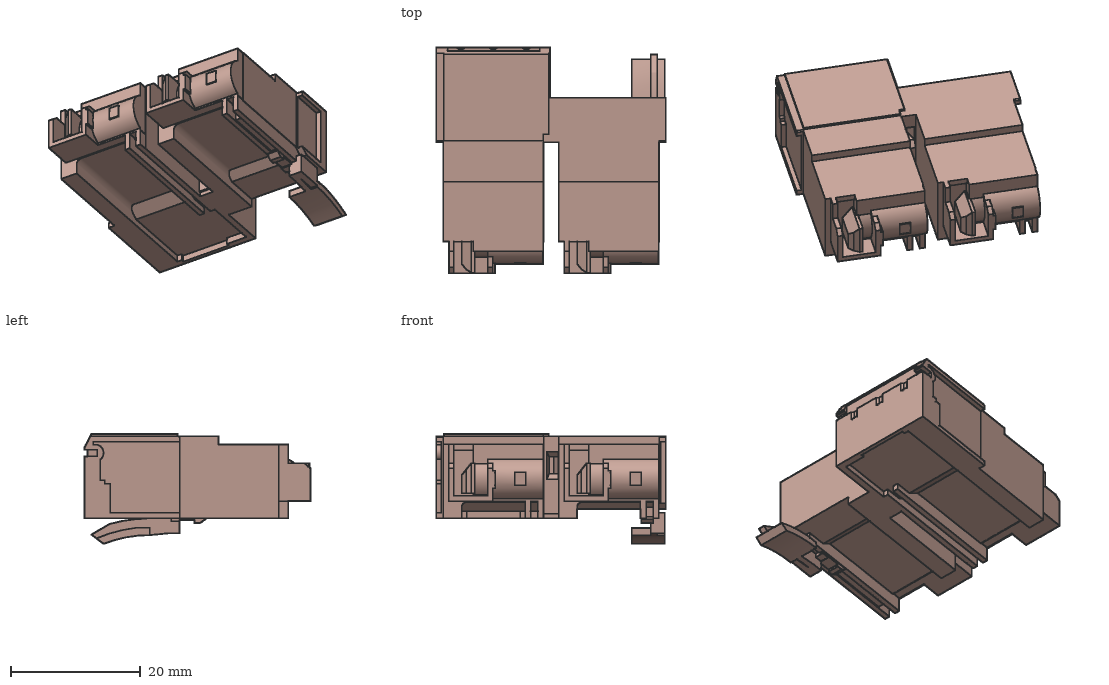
import cadquery as cq


total_width = 35.4
total_depth = 34.87
total_height = 16.96
body_top = 12.68
wing_front_y = 20.2
left_block_right_x = 17.55
right_block_back_y = 27.13

module_pitch = 17.8
module_left_x = 1.07
module_right_x = 16.57
module_front_y = 4.9
module_step_y = 14.16
module_front_top = 11.42

plate_left_x = 1.94
plate_right_x = 16.5
plate_front_y = 3.44
plate_bottom = 2.67

trough_wall = 0.8
trough_right_x = 8.75
trough_top = 8.53
trough_chamfer_y = 1.0
trough_chamfer_z = 0.77
trough_tab_right_x = 9.1
trough_tab_back_y = 1.6
trough_tab_bottom = 4.63
trough_tab_top = 7.36
cavity_right_x = 5.7
cavity_back_y = 5.5
cavity_roof = 10.5

rib_left_x = 3.92
rib_crest_x = 5.42
rib_right_x = 5.95
rib_bottom = 3.87
rib_shoulder_z = 6.65
rib_tip_y = 0.15
rib_left_tip_y = 1.5
rib_tip_bend = (4.6, 0.65)

barrel_z = 6.06
barrel_half_height = 3.03
barrel_front_y = 1.45
small_barrel_half_height = 2.4
small_barrel_front_y = 2.5
pad_left_x = 12.1
pad_width = 1.68
pad_bottom = 5.14
pad_top = 7.1
pad_front_y = 1.4

channel_left_x = 3.92
channel_roof = 2.5
channel_fillet = 0.8
channel_back_wall = 1.1
channel_back_niche_x = (4.68, 12.95)
channel_back_niche_depth = 0.5
left_channel_rear_roof = 1.12
right_channel_rear_roof = 1.42
wing_bottom_front = 2.34
roof_slope = 0.7
leg_left_xs = (13.7, 15.68)
leg_width = 0.85
leg_back_y = 24.8
leg_bridge_bottom = 0.25
leg_bridge_top = 1.7
leg_bridge_front_y = 6.0

lid_top = 13.02
lid_left_x = 1.2
lid_right_x = 17.38
lid_front_y = 20.5
lid_notch_left_x = 16.5
lid_notch_back_y = 21.5
bevel_start_y = 33.8
bevel_bottom = 10.94
rear_slot_bottom = 9.55
rear_slot_top = 10.55
rear_slot_depth = 0.45
end_slot_front_y = 32.9
label_left_x = 1.74
label_right_x = 15.95
label_top = 12.0
label_floor_y = 34.3
contact_xs = (3.8, 8.8, 13.9)
contact_width = 1.3
contact_floor_width = 0.6
contact_depth = 0.3
contact_bottom = 8.0

panel_depth = 0.77
panel_bottom = 0.87
panel_top = 11.8
panel_lower_back_y = 30.9
panel_middle_back_y = 31.75
panel_upper_back_y = 32.4
panel_top_back_y = 33.5
panel_lower_step_z = 5.33
panel_upper_step_z = 5.9
hub_y = 33.2
hub_z = 10.1
hub_radius = 1.28
right_panel_back_y = 25.5
lip_bevel_y = 0.27
lip_bevel_z = 0.15

window_left_x = 17.06
window_right_x = 18.83
window_bottom = 6.04
window_top = 10.24
window_inner_left_x = 17.4
window_inner_bottom = 6.9
window_inner_top = 9.5
window_taper_depth = 1.0
window_depth = 3.0
window_back_right_x = 18.1
web_foot_height = 0.74
web_foot_setback = 0.3

latch_left_x = 30.12
latch_rib_left_x = 33.05
latch_rib_right_x = 34.1
latch_right_x = 35.27
latch_stem_back_y = 24.8
latch_stem_top = 0.87
latch_stem_bottom = -2.33
latch_flat_end_y = 22.0
latch_knee_bottom = -2.6
latch_low_z = lid_top - total_height
latch_low_tip = (31.9, latch_low_z)
latch_tip = (33.8, -2.5)
latch_lower_bend = (28.5, -2.95)
latch_upper_bend = (29.1, -0.4)
latch_upper_arc_end = (31.0, -0.85)
bar_tip = (33.05, -3.1)
bar_bend = (29.3, -1.87)
bar_arc_end_y = 27.0
bar_top = -1.47
strip_back_y = 21.5
strip_root_z = 0.3
strip_thick_bottom = -0.46
strip_thin_bottom = -0.28
hook_back_y = 17.9
hook_tip_front_y = 17.05
hook_front_y = 16.15
hook_bottom = -0.74
hook_front_z = -0.1
hook_left_x = 31.6
hook_right_x = 33.5


def box(x0, x1, y0, y1, z0, z1):
    return cq.Workplane("XY").box(x1 - x0, y1 - y0, z1 - z0, centered=False).translate((x0, y0, z0))


def side_prism(sketch, x0, x1):
    """Extrude a closed YZ outline from x0 to x1."""
    return sketch.extrude(x1 - x0).translate((x0, 0, 0))


def side_polygon(points, x0, x1):
    return side_prism(cq.Workplane("YZ").polyline(points).close(), x0, x1)


def barrel(x0, x1, half_height, front_y):
    """Round bulge along X, standing on the front plate."""
    outline = (
        cq.Workplane("YZ")
        .moveTo(plate_front_y, barrel_z - half_height)
        .threePointArc((front_y, barrel_z), (plate_front_y, barrel_z + half_height))
        .lineTo(module_front_y, barrel_z + half_height)
        .lineTo(module_front_y, barrel_z - half_height)
        .close()
    )
    return side_prism(outline, x0, x1)


def trough_rib():
    profile = [
        (rib_left_x, rib_bottom),
        (rib_right_x, rib_bottom),
        (rib_right_x, trough_top),
        (rib_crest_x, trough_top),
        (rib_left_x, rib_shoulder_z),
    ]
    rib = cq.Workplane("XZ").polyline(profile).close().extrude(-cavity_back_y)
    plan = (
        cq.Workplane("XY")
        .moveTo(rib_left_x, cavity_back_y)
        .lineTo(rib_left_x, rib_left_tip_y)
        .lineTo(*rib_tip_bend)
        .lineTo(rib_crest_x, rib_tip_y)
        .lineTo(rib_right_x, rib_tip_y)
        .lineTo(rib_right_x, cavity_back_y)
        .close()
        .extrude(body_top)
    )
    return rib.intersect(plan)


def trough():
    chamfer_z = trough_top - trough_chamfer_z
    outline = [
        (0, plate_bottom),
        (module_front_y, plate_bottom),
        (module_front_y, trough_top),
        (trough_chamfer_y, trough_top),
        (0, chamfer_z),
    ]
    body = side_polygon(outline, plate_left_x, trough_right_x)
    inside = box(
        plate_left_x + trough_wall, trough_right_x - trough_wall,
        0, plate_front_y, plate_bottom + trough_wall, trough_top,
    )
    tab = box(
        trough_right_x, trough_tab_right_x, 0, trough_tab_back_y, trough_tab_bottom, trough_tab_top,
    )
    return body.cut(inside).union(tab)


def module():
    """One forward module with its socket, in the left-hand position."""
    rear = box(module_left_x, module_right_x, module_step_y, wing_front_y + 1, 0, body_top)
    front = box(module_left_x, module_right_x, module_front_y, module_step_y, 0, module_front_top)
    plate = box(plate_left_x, plate_right_x, plate_front_y, module_front_y, plate_bottom, module_front_top)
    body = rear.union(front).union(plate).union(trough())

    cavity_left_x = plate_left_x + trough_wall
    cavity_floor = plate_bottom + trough_wall
    notch = box(cavity_left_x, cavity_right_x, plate_front_y, module_front_y, cavity_floor, module_front_top)
    cavity = box(cavity_left_x, cavity_right_x, plate_front_y, cavity_back_y, cavity_floor, cavity_roof)
    body = body.cut(notch).cut(cavity).union(trough_rib())

    small = barrel(rib_right_x, trough_right_x - trough_wall, small_barrel_half_height, small_barrel_front_y)
    large = barrel(trough_right_x - trough_wall, plate_right_x, barrel_half_height, barrel_front_y)
    pad = box(pad_left_x, pad_left_x + pad_width, pad_front_y, plate_front_y, pad_bottom, pad_top)
    return body.union(small).union(large).union(pad)


def channel_outline(back_y, rear_roof):
    """YZ outline of the space under the roof, which steps down along a slope near the wing fronts."""
    slope_start_y = wing_front_y - (channel_roof - wing_bottom_front) / roof_slope
    slope_end_y = slope_start_y + (channel_roof - rear_roof) / roof_slope
    return [
        (plate_front_y, 0),
        (back_y, 0),
        (back_y, rear_roof),
        (slope_end_y, rear_roof),
        (slope_start_y, channel_roof),
        (plate_front_y, channel_roof),
    ]


def channel(right_x, back_y, rear_roof):
    """Underside cavity with one rounded upper corner at its left."""
    outline = channel_outline(back_y, rear_roof)
    cavity = side_polygon(outline, channel_left_x, right_x)
    rounded = (
        box(channel_left_x, right_x, plate_front_y, back_y, -channel_roof, channel_roof)
        .edges("|Y and >Z and <X")
        .fillet(channel_fillet)
    )
    return cavity.intersect(rounded)


def legs():
    """Pair of rails under the plate."""
    rails = cq.Workplane("XY")
    for left_x in leg_left_xs:
        rails = rails.union(
            box(left_x, left_x + leg_width, plate_front_y, leg_back_y, 0, plate_bottom)
        )
    return rails


def leg_bridge():
    """Block joining the two rails above the latch."""
    return box(
        leg_left_xs[0], leg_left_xs[1] + leg_width,
        leg_bridge_front_y, leg_back_y, leg_bridge_bottom, leg_bridge_top,
    )


def left_block():
    block = box(0, left_block_right_x, wing_front_y, total_depth, 0, body_top)
    lid = box(lid_left_x, lid_right_x, lid_front_y, total_depth, body_top, lid_top)
    lid_notch = box(
        lid_notch_left_x, lid_right_x, lid_front_y, lid_notch_back_y, body_top, lid_top,
    )
    block = block.union(lid.cut(lid_notch))

    bevel = [(bevel_start_y, lid_top), (total_depth, bevel_bottom), (total_depth, lid_top)]
    block = block.cut(side_polygon(bevel, 0, left_block_right_x))
    slot_floor_y = total_depth - rear_slot_depth
    block = block.cut(
        box(0, left_block_right_x, slot_floor_y, total_depth, rear_slot_bottom, rear_slot_top)
    )
    block = block.cut(
        box(0, panel_depth, end_slot_front_y, total_depth, rear_slot_bottom, rear_slot_top)
    )
    block = block.cut(
        box(label_left_x, label_right_x, label_floor_y, total_depth, rear_slot_bottom, label_top)
    )
    for center_x in contact_xs:
        block = block.cut(contact_notch(center_x))
    return block


def contact_notch(center_x):
    """Tapered vertical groove in the rear face."""
    floor_y = total_depth - contact_depth
    return (
        cq.Workplane("XY", origin=(center_x, 0, contact_bottom))
        .moveTo(-contact_width / 2, total_depth)
        .lineTo(-contact_floor_width / 2, floor_y)
        .lineTo(contact_floor_width / 2, floor_y)
        .lineTo(contact_width / 2, total_depth)
        .close()
        .extrude(rear_slot_bottom - contact_bottom)
    )


def left_panel():
    """Recess in the left face, stepped at the back and passing round the hub."""
    outline = [
        (wing_front_y, panel_bottom),
        (panel_lower_back_y, panel_bottom),
        (panel_lower_back_y, panel_lower_step_z),
        (panel_middle_back_y, panel_lower_step_z),
        (panel_middle_back_y, panel_upper_step_z),
        (panel_upper_back_y, panel_upper_step_z),
        (panel_upper_back_y, hub_z),
        (panel_top_back_y, hub_z),
        (panel_top_back_y, panel_top),
        (wing_front_y, panel_top),
    ]
    hub = cq.Workplane("YZ").center(hub_y, hub_z).circle(hub_radius).extrude(panel_depth)
    return side_polygon(outline, 0, panel_depth).cut(hub)


def right_block():
    block = box(left_block_right_x, total_width, wing_front_y, right_block_back_y, 0, body_top)
    below_wing = channel_outline(right_block_back_y, right_channel_rear_roof)
    wing_left_x = module_right_x + module_pitch
    return block.cut(side_polygon(below_wing, wing_left_x, total_width))


def right_panel():
    return box(
        total_width - panel_depth, total_width,
        wing_front_y, right_panel_back_y, wing_bottom_front, panel_top,
    )


def wing_lip(x0, x1):
    """Small bevel on the top front edge of a wing."""
    outline = [
        (wing_front_y, body_top),
        (wing_front_y, body_top - lip_bevel_z),
        (wing_front_y + lip_bevel_y, body_top),
    ]
    return side_polygon(outline, x0, x1)


def window():
    """Pocket in the web between the modules, narrowing to a deeper opening."""
    mouth_width = window_right_x - window_left_x
    inner_width = window_right_x - window_inner_left_x
    mouth_center = (window_left_x + mouth_width / 2, (window_bottom + window_top) / 2)
    inner_center = (window_inner_left_x + inner_width / 2, (window_inner_bottom + window_inner_top) / 2)
    taper = (
        cq.Workplane("XZ", origin=(0, wing_front_y, 0))
        .center(*mouth_center)
        .rect(mouth_width, window_top - window_bottom)
        .workplane(offset=-window_taper_depth)
        .center(inner_center[0] - mouth_center[0], inner_center[1] - mouth_center[1])
        .rect(inner_width, window_inner_top - window_inner_bottom)
        .loft()
    )
    back_y = wing_front_y + window_depth
    opening = (
        cq.Workplane("XY", origin=(0, 0, window_inner_bottom))
        .moveTo(window_inner_left_x, wing_front_y)
        .lineTo(window_right_x, wing_front_y)
        .lineTo(window_right_x, wing_front_y + window_taper_depth)
        .lineTo(window_back_right_x, back_y)
        .lineTo(window_inner_left_x, back_y)
        .close()
        .extrude(window_inner_top - window_inner_bottom)
    )
    return taper.union(opening)


def web_foot():
    """Low setback along the bottom of the web between the modules."""
    right_x = module_left_x + module_pitch
    return box(
        module_right_x, right_x, wing_front_y, wing_front_y + web_foot_setback, 0, web_foot_height,
    )


def latch():
    """Curved release lever with its stem, cross bar and hook."""
    lever = (
        cq.Workplane("YZ")
        .moveTo(wing_front_y, 0)
        .lineTo(wing_front_y, latch_stem_bottom)
        .lineTo(latch_flat_end_y, latch_stem_bottom)
        .lineTo(latch_stem_back_y, latch_knee_bottom)
        .threePointArc(latch_lower_bend, latch_low_tip)
        .lineTo(*latch_tip)
        .lineTo(*latch_upper_arc_end)
        .threePointArc(latch_upper_bend, (latch_stem_back_y, 0))
        .close()
    )
    bar = (
        cq.Workplane("YZ")
        .moveTo(latch_stem_back_y, bar_top)
        .lineTo(latch_stem_back_y, latch_knee_bottom)
        .threePointArc(latch_lower_bend, latch_low_tip)
        .lineTo(*bar_tip)
        .threePointArc(bar_bend, (bar_arc_end_y, bar_top))
        .close()
    )
    stem = box(
        latch_rib_left_x, latch_right_x,
        wing_front_y, latch_stem_back_y, latch_stem_bottom, latch_stem_top,
    )
    strip = [
        (strip_back_y, strip_root_z),
        (strip_back_y, strip_thick_bottom),
        (wing_front_y, strip_thick_bottom),
        (wing_front_y, strip_thin_bottom),
        (hook_back_y, strip_thin_bottom),
        (hook_back_y, hook_bottom),
        (hook_tip_front_y, hook_bottom),
        (hook_front_y, hook_front_z),
        (hook_front_y, strip_root_z),
    ]
    return (
        side_prism(lever, latch_rib_left_x, latch_rib_right_x)
        .union(side_prism(bar, latch_left_x, latch_right_x))
        .union(stem)
        .union(side_polygon(strip, hook_left_x, hook_right_x))
    )


def build():
    to_right = (module_pitch, 0, 0)
    channel_back_y = total_depth - channel_back_wall
    left_channel = channel(plate_right_x, channel_back_y, left_channel_rear_roof)
    niche = box(
        *channel_back_niche_x,
        channel_back_y, channel_back_y + channel_back_niche_depth, 0, left_channel_rear_roof,
    )
    right_channel = channel(module_right_x, right_block_back_y, right_channel_rear_roof).translate(to_right)
    body = left_block().union(right_block())
    body = body.union(module()).union(module().translate(to_right))
    body = body.cut(left_channel).cut(niche).cut(right_channel)
    body = body.union(legs()).union(legs().translate(to_right)).union(leg_bridge().translate(to_right))
    body = body.cut(left_panel()).cut(right_panel()).cut(window()).cut(web_foot())
    body = body.cut(wing_lip(0, module_left_x))
    body = body.cut(wing_lip(module_right_x + module_pitch, total_width))
    return body.union(latch())


result = build()